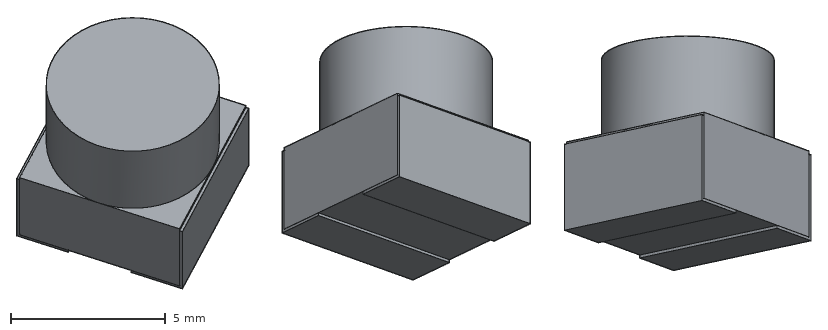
import cadquery as cq

body_width = 5.6
total_height = 5.9
terminal_thickness = 0.1
foot_length = 1.8

base_height = (total_height - terminal_thickness) / 2
cap_height = total_height - terminal_thickness - base_height
terminal_height = base_height
terminal_outer_x = body_width / 2 + terminal_thickness


def make_base():
    """Square block standing on the terminal feet."""
    return (
        cq.Workplane("XY")
        .workplane(offset=terminal_thickness)
        .rect(body_width, body_width)
        .extrude(base_height)
    )


def make_cap():
    """Round cap resting on top of the base."""
    return (
        cq.Workplane("XY")
        .workplane(offset=terminal_thickness + base_height)
        .circle(body_width / 2)
        .extrude(cap_height)
    )


def make_terminal(side):
    """L-shaped terminal wrapping a side and the underside of the base; side is -1 or +1 along X."""
    outer_x = side * terminal_outer_x
    inner_x = side * body_width / 2
    foot_end_x = side * (terminal_outer_x - foot_length)
    return (
        cq.Workplane("XZ")
        .moveTo(outer_x, 0)
        .lineTo(foot_end_x, 0)
        .lineTo(foot_end_x, terminal_thickness)
        .lineTo(inner_x, terminal_thickness)
        .lineTo(inner_x, terminal_height)
        .lineTo(outer_x, terminal_height)
        .close()
        .extrude(body_width / 2, both=True)
    )


base = make_base()
cap = make_cap()
terminals = [make_terminal(side) for side in (-1, 1)]

result = cq.Compound.makeCompound(
    [base.val(), cap.val(), *[terminal.val() for terminal in terminals]]
)